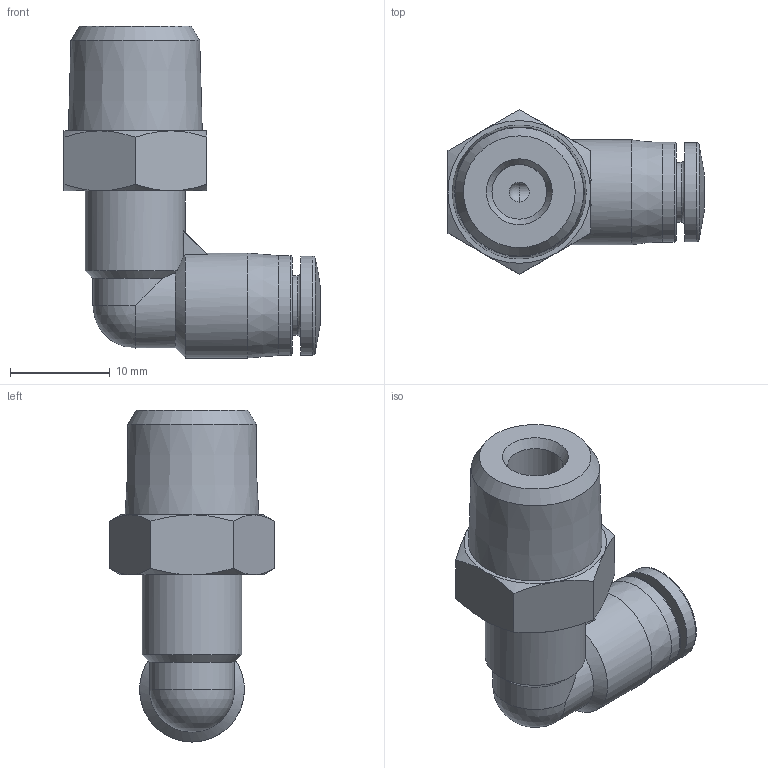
import cadquery as cq
import math


top_z = 28.0
hex_bottom_z = 11.5
hex_height = 6.0
hex_top_z = hex_bottom_z + hex_height
hex_across_corners = 16.5
hex_corner_radius = hex_across_corners / 2
hex_flat_radius = hex_corner_radius * math.cos(math.radians(30))
hex_chamfer_angle = 30.0

thread_base_radius = 6.7
thread_end_radius = 6.45
thread_tip_radius = 5.6
thread_chamfer_height = 1.45

stem_radius = 5.0
stem_bottom_z = 3.5

elbow_radius = 4.25
socket_radius = 5.25
socket_start_x = 5.0
socket_taper_start_x = 11.28
collar_radius = 5.0
collar_start_x = 14.3
collar_end_x = 15.7
collar_rounding = 0.2

neck_radius = 5.97 / 2
ring_radius = 9.9 / 2
ring_start_x = 16.55
ring_end_x = 18.5
ring_rounding = 0.23
neck_fillet = 0.35
dome_radius = 19.0

rib_thickness = 2.6
rib_intercept = 12.3

port_radius = 5.49 / 2
port_mouth_radius = 3.3
port_mouth_depth = 0.95
port_floor_z = hex_bottom_z
passage_radius = 1.0
tube_radius = 3.97 / 2
tube_stop_x = socket_start_x


def revolve_about_z(profile):
    """Revolve a closed XZ profile about the Z axis."""
    return profile.close().revolve(360, (0, 0, 0), (0, 1, 0))


def revolve_about_x(profile):
    """Revolve a closed XZ profile about the X axis."""
    return profile.close().revolve(360, (0, 0, 0), (1, 0, 0))


def cylinder_along_x(radius, start_x, end_x):
    return cq.Workplane("YZ").workplane(offset=start_x).circle(radius).extrude(end_x - start_x)


def cylinder_along_z(radius, start_z, end_z):
    return cq.Workplane("XY").workplane(offset=start_z).circle(radius).extrude(end_z - start_z)


def hexagon():
    """Hexagon with corners on +Y and -Y, chamfered conically at both ends."""
    prism = (
        cq.Workplane("XY")
        .workplane(offset=hex_bottom_z)
        .transformed(rotate=(0, 0, 90))
        .polygon(6, hex_across_corners)
        .extrude(hex_height)
    )
    chamfer_height = (hex_corner_radius - hex_flat_radius) * math.tan(math.radians(hex_chamfer_angle))
    envelope = revolve_about_z(
        cq.Workplane("XZ")
        .moveTo(0, hex_bottom_z)
        .lineTo(hex_flat_radius, hex_bottom_z)
        .lineTo(hex_corner_radius, hex_bottom_z + chamfer_height)
        .lineTo(hex_corner_radius, hex_top_z - chamfer_height)
        .lineTo(hex_flat_radius, hex_top_z)
        .lineTo(0, hex_top_z)
    )
    return prism.intersect(envelope)


def thread():
    """Tapered thread blank with a chamfered tip."""
    return revolve_about_z(
        cq.Workplane("XZ")
        .moveTo(0, hex_top_z)
        .lineTo(thread_base_radius, hex_top_z)
        .lineTo(thread_end_radius, top_z - thread_chamfer_height)
        .lineTo(thread_tip_radius, top_z)
        .lineTo(0, top_z)
    )


def stem():
    """Stem below the hexagon, narrowing at 45 degrees to the elbow."""
    return revolve_about_z(
        cq.Workplane("XZ")
        .lineTo(elbow_radius, 0)
        .lineTo(elbow_radius, stem_bottom_z - (stem_radius - elbow_radius))
        .lineTo(stem_radius, stem_bottom_z)
        .lineTo(stem_radius, hex_bottom_z)
        .lineTo(0, hex_bottom_z)
    )


def socket():
    """Horizontal arm: elbow pipe, 45 degree shoulder, socket, taper and rounded collar."""
    return revolve_about_x(
        cq.Workplane("XZ")
        .lineTo(0, elbow_radius)
        .lineTo(socket_start_x - (socket_radius - elbow_radius), elbow_radius)
        .lineTo(socket_start_x, socket_radius)
        .lineTo(socket_taper_start_x, socket_radius)
        .lineTo(collar_start_x, collar_radius)
        .lineTo(collar_end_x - collar_rounding, collar_radius)
        .radiusArc((collar_end_x, collar_radius - collar_rounding), collar_rounding)
        .lineTo(collar_end_x, 0)
    )


def dome_x(radius):
    """X position on the domed end face, which ends at the tube bore."""
    dome_center_x = ring_end_x - math.sqrt(dome_radius**2 - tube_radius**2)
    return dome_center_x + math.sqrt(dome_radius**2 - radius**2)


def release_ring():
    """Neck and flange with a fillet between them and a domed end face."""
    dome_rim_radius = ring_radius - ring_rounding
    dome_rim_x = dome_x(dome_rim_radius)
    return revolve_about_x(
        cq.Workplane("XZ")
        .moveTo(collar_end_x, 0)
        .lineTo(collar_end_x, neck_radius)
        .lineTo(ring_start_x - neck_fillet, neck_radius)
        .radiusArc((ring_start_x, neck_radius + neck_fillet), -neck_fillet)
        .lineTo(ring_start_x, ring_radius)
        .lineTo(dome_rim_x - ring_rounding, ring_radius)
        .radiusArc((dome_rim_x, dome_rim_radius), ring_rounding)
        .radiusArc((dome_x(0), 0), dome_radius)
    )


def rib():
    """Triangular web, rooted inside the stem and the socket."""
    return (
        cq.Workplane("XZ")
        .lineTo(rib_intercept, 0)
        .lineTo(0, rib_intercept)
        .close()
        .extrude(rib_thickness / 2, both=True)
    )


def bores():
    """Port with a conical mouth, narrow passage round the elbow and tube bore."""
    port = cylinder_along_z(port_radius, port_floor_z, top_z)
    mouth = revolve_about_z(
        cq.Workplane("XZ")
        .moveTo(0, top_z)
        .lineTo(port_mouth_radius, top_z)
        .lineTo(port_radius, top_z - port_mouth_depth)
        .lineTo(0, top_z - port_mouth_depth)
    )
    passage = (
        cylinder_along_z(passage_radius, 0, port_floor_z)
        .union(cylinder_along_x(passage_radius, 0, tube_stop_x))
        .union(cq.Workplane("XY").sphere(passage_radius))
    )
    tube_bore = cylinder_along_x(tube_radius, tube_stop_x, dome_x(0))
    return port.union(mouth).union(passage).union(tube_bore)


elbow = cq.Workplane("XY").sphere(elbow_radius)
body = elbow.union(stem()).union(hexagon()).union(thread())
body = body.union(socket()).union(release_ring()).union(rib())
result = body.cut(bores())